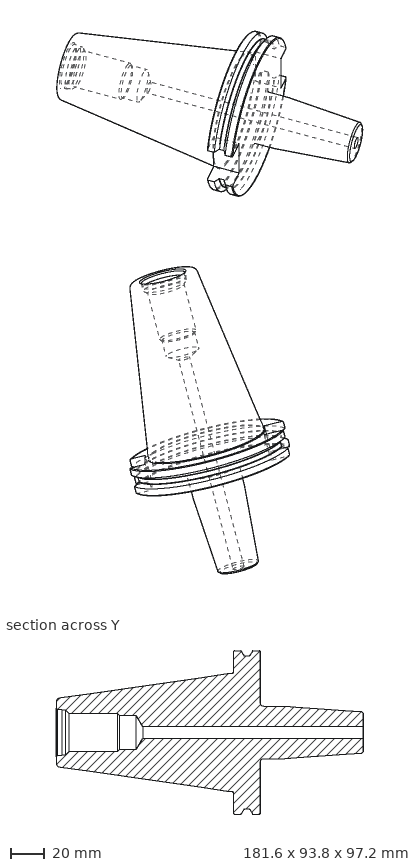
import cadquery as cq
import math


total_length = 181.6
rear_diameter = 40.7
rear_edge_radius = 2.5
gauge_diameter = 70.3
gauge_position = 102.5
gauge_fillet = 0.5

flange_diameter = 97.2
flange_start = 104.8
flange_width = 16.0
flange_chamfer = 0.5
groove_depth = 3.3
groove_floor_width = 3.0
groove_floor_fillet = 0.4
groove_wall_angle = 30.0
groove_center = flange_start + flange_width / 2
flange_end = flange_start + flange_width

slot_width = 25.6
front_slot_floor = 35.2
back_slot_floor = 37.5

shank_diameter = 31.5
shank_fillet = 1.8
shank_taper_start = 134.5
tip_diameter = 24.9
tip_chamfer = 1.0

mouth_diameter = 28.3
mouth_chamfer_length = 0.9
pilot_diameter = 26.7
pilot_depth = 3.5
seat_diameter = 26.2
seat_depth = 5.6
thread_diameter = 22.2
thread_depth = 36.3
drill_diameter = 20.0
drill_depth = 47.2
drill_point_angle = 118.0
through_diameter = 6.7


def revolve_about_x(profile):
    return profile.close().revolve(360, (0, 0, 0), (1, 0, 0))


def make_body():
    """Rear taper, gauge land, flange blank and tool shank."""
    flange_radius = flange_diameter / 2
    shank_radius = shank_diameter / 2
    profile = (
        cq.Workplane("XY")
        .lineTo(0, rear_diameter / 2)
        .lineTo(gauge_position, gauge_diameter / 2)
        .lineTo(flange_start - gauge_fillet, gauge_diameter / 2)
        .radiusArc((flange_start, gauge_diameter / 2 + gauge_fillet), -gauge_fillet)
        .lineTo(flange_start, flange_radius - flange_chamfer)
        .lineTo(flange_start + flange_chamfer, flange_radius)
        .lineTo(flange_end - flange_chamfer, flange_radius)
        .lineTo(flange_end, flange_radius - flange_chamfer)
        .lineTo(flange_end, shank_radius + shank_fillet)
        .radiusArc((flange_end + shank_fillet, shank_radius), -shank_fillet)
        .lineTo(shank_taper_start, shank_radius)
        .lineTo(total_length - tip_chamfer, tip_diameter / 2)
        .lineTo(total_length, tip_diameter / 2 - tip_chamfer)
        .lineTo(total_length, 0)
    )
    return revolve_about_x(profile).faces("<X").edges().fillet(rear_edge_radius)


def make_flange_groove():
    """V-groove ring with a flat floor around the flange."""
    rim_radius = flange_diameter / 2
    floor_radius = rim_radius - groove_depth
    half_floor = groove_floor_width / 2
    half_mouth = half_floor + groove_depth * math.tan(math.radians(groove_wall_angle))
    profile = (
        cq.Workplane("XY")
        .moveTo(groove_center - half_mouth, rim_radius)
        .lineTo(groove_center - half_floor, floor_radius)
        .lineTo(groove_center + half_floor, floor_radius)
        .lineTo(groove_center + half_mouth, rim_radius)
    )
    floor_edges = cq.selectors.RadiusNthSelector(0)
    return revolve_about_x(profile).edges(floor_edges).fillet(groove_floor_fillet)


def make_drive_slot(side, floor):
    """Slot across the flange rim; side is -1 for -Y and +1 for +Y."""
    depth = flange_diameter / 2
    return cq.Workplane("XY").box(flange_width, depth, slot_width).translate(
        (groove_center, side * (floor + depth / 2), 0)
    )


def make_bore():
    """Stepped rear bore with a drill point, and the hole through to the tip."""
    pilot_radius = pilot_diameter / 2
    seat_radius = seat_diameter / 2
    thread_radius = thread_diameter / 2
    drill_radius = drill_diameter / 2
    through_radius = through_diameter / 2
    shoulder_end = seat_depth + seat_radius - thread_radius
    thread_end = thread_depth + thread_radius - drill_radius
    point_slope = math.tan(math.radians(drill_point_angle / 2))
    point_end = drill_depth + (drill_radius - through_radius) / point_slope
    profile = (
        cq.Workplane("XY")
        .lineTo(0, mouth_diameter / 2)
        .lineTo(mouth_chamfer_length, pilot_radius)
        .lineTo(pilot_depth, pilot_radius)
        .lineTo(pilot_depth, seat_radius)
        .lineTo(seat_depth, seat_radius)
        .lineTo(shoulder_end, thread_radius)
        .lineTo(thread_depth, thread_radius)
        .lineTo(thread_end, drill_radius)
        .lineTo(drill_depth, drill_radius)
        .lineTo(point_end, through_radius)
        .lineTo(total_length, through_radius)
        .lineTo(total_length, 0)
    )
    return revolve_about_x(profile)


result = (
    make_body()
    .cut(make_flange_groove())
    .cut(make_drive_slot(-1, front_slot_floor))
    .cut(make_drive_slot(1, back_slot_floor))
    .cut(make_bore())
)